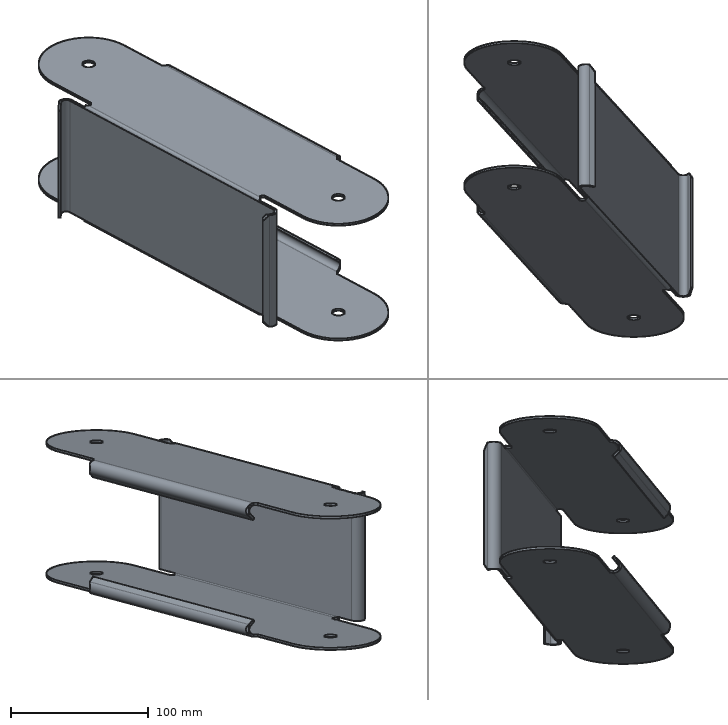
import cadquery as cq
import math

SHEET = 1.82
LENGTH = 331.0
HEIGHT = 100.0
END_RADIUS = 36.5
HOLE_DIAMETER = 9.3
HOLE_X = LENGTH / 2 - END_RADIUS

REAR_Y = 44.0
FRONT_Y = -54.0

LIP_RADIUS = 5.5
LIP_ANGLE = math.radians(135)
LIP_TAIL = 4.5
LIP_SIN = math.sin(LIP_ANGLE)
LIP_COS = math.cos(LIP_ANGLE)
LIP_DEPTH = LIP_RADIUS * (1 - LIP_COS) + LIP_TAIL * LIP_SIN
FLANGE_BEND_Y = REAR_Y - LIP_RADIUS

WEB_BACK_Y = FRONT_Y + LIP_DEPTH
WEB_WIDTH = 221.0
WEB_WING_HEIGHT = 95.3
CORNER_RADIUS = 2.5
WEB_BEND_X = WEB_WIDTH / 2 - LIP_RADIUS
TAIL_CHAMFER_DEPTH = LIP_TAIL * LIP_SIN
TAIL_CHAMFER_HEIGHT = 5.0

NECK_HALF = 90.3
NECK_SHOULDER = 2.0
LIP_ROOT_HALF = 88.5
LIP_SIDE_HALF = 87.7
LIP_END_HALF = 86.0
LIP_END_CORNER = 1.3
RELIEF_DEPTH = 2.3


def curled_lip(bend_position):
    """Lip section on a sheet whose convex face is at local height zero, curling to negative height."""

    def bend_point(radius, angle):
        return (bend_position + radius * math.sin(angle), radius * math.cos(angle) - LIP_RADIUS)

    def tail_point(radius):
        x, height = bend_point(radius, LIP_ANGLE)
        return (x + LIP_TAIL * LIP_COS, height - LIP_TAIL * LIP_SIN)

    inner = LIP_RADIUS - SHEET
    return (
        cq.Workplane("XY")
        .moveTo(*bend_point(LIP_RADIUS, 0))
        .threePointArc(bend_point(LIP_RADIUS, LIP_ANGLE / 2), bend_point(LIP_RADIUS, LIP_ANGLE))
        .lineTo(*tail_point(LIP_RADIUS))
        .lineTo(*tail_point(inner))
        .lineTo(*bend_point(inner, LIP_ANGLE))
        .threePointArc(bend_point(inner, LIP_ANGLE / 2), bend_point(inner, 0))
        .close()
    )


def box_between(x_half, y_min, y_max, z_min, z_max):
    return cq.Workplane("XY").box(
        2 * x_half, y_max - y_min, z_max - z_min, centered=(True, False, False)
    ).translate((0, y_min, z_min))


def web():
    front = WEB_BACK_Y - SHEET
    wing_half = WEB_WING_HEIGHT / 2
    sheet = box_between(WEB_BEND_X, front, WEB_BACK_Y, -wing_half, wing_half)
    lip = curled_lip(WEB_BEND_X).extrude(wing_half, both=True).translate((0, WEB_BACK_Y, 0))
    return sheet.union(lip).union(lip.mirror("YZ"))


def tail_chamfer(x_sign, z_sign):
    """Wedge removed from one free corner of a web lip."""
    edge = z_sign * WEB_WING_HEIGHT / 2
    return (
        cq.Workplane("YZ")
        .polyline([
            (FRONT_Y, edge),
            (FRONT_Y + TAIL_CHAMFER_DEPTH, edge),
            (FRONT_Y, edge - z_sign * TAIL_CHAMFER_HEIGHT),
        ])
        .close()
        .extrude(x_sign * WEB_WIDTH)
    )


def channel():
    """Neck-wide strip of the web joined by bends to the inner strips of both flanges."""
    front = WEB_BACK_Y - SHEET
    outer = (
        box_between(NECK_HALF, front, 0, -HEIGHT / 2, HEIGHT / 2)
        .edges("|X and <Y").fillet(CORNER_RADIUS)
    )
    cavity = (
        box_between(NECK_HALF, WEB_BACK_Y, 0, SHEET - HEIGHT / 2, HEIGHT / 2 - SHEET)
        .edges("|X and <Y").fillet(CORNER_RADIUS - SHEET)
    )
    return outer.cut(cavity)


def corner_reliefs():
    """Round-ended slots separating the plate edges from the web wings."""
    width = -END_RADIUS - WEB_BACK_Y
    tip = NECK_HALF - RELIEF_DEPTH
    slot_length = 2 * (NECK_HALF - tip + width)
    return (
        cq.Workplane("XY")
        .pushPoints([(side * (tip + slot_length / 2), WEB_BACK_Y + width / 2) for side in (-1, 1)])
        .slot2D(slot_length, width)
        .extrude(HEIGHT, both=True)
    )


def top_flange():
    bottom = HEIGHT / 2 - SHEET
    plate = cq.Workplane("XY").workplane(offset=bottom).slot2D(LENGTH, 2 * END_RADIUS).extrude(SHEET)
    neck = (
        cq.Workplane("XY")
        .workplane(offset=bottom)
        .polyline([
            (-LIP_ROOT_HALF - NECK_SHOULDER, END_RADIUS),
            (-LIP_ROOT_HALF, FLANGE_BEND_Y),
            (LIP_ROOT_HALF, FLANGE_BEND_Y),
            (LIP_ROOT_HALF + NECK_SHOULDER, END_RADIUS),
        ])
        .close()
        .extrude(SHEET)
    )
    lip = (
        curled_lip(FLANGE_BEND_Y)
        .extrude(LIP_ROOT_HALF, both=True)
        .rotate((0, 0, 0), (1, 1, 1), 120)
        .translate((0, 0, HEIGHT / 2))
    )
    corner_y = REAR_Y - LIP_END_CORNER
    lip_outline = (
        cq.Workplane("XY")
        .polyline([
            (-LIP_ROOT_HALF, 0),
            (-LIP_ROOT_HALF, FLANGE_BEND_Y),
            (-LIP_SIDE_HALF, corner_y),
            (-LIP_END_HALF, REAR_Y),
            (LIP_END_HALF, REAR_Y),
            (LIP_SIDE_HALF, corner_y),
            (LIP_ROOT_HALF, FLANGE_BEND_Y),
            (LIP_ROOT_HALF, 0),
        ])
        .close()
        .extrude(HEIGHT)
    )
    holes = (
        cq.Workplane("XY")
        .pushPoints([(-HOLE_X, 0), (HOLE_X, 0)])
        .circle(HOLE_DIAMETER / 2)
        .extrude(HEIGHT)
    )
    return plate.union(neck).union(lip.intersect(lip_outline)).cut(holes)


flange = top_flange()
folded_body = channel().cut(corner_reliefs())
body = folded_body.union(web()).union(flange).union(flange.mirror("XY"))

for x_side, z_side in [(-1, 1), (1, 1), (1, -1)]:
    body = body.cut(tail_chamfer(x_side, z_side))

result = body